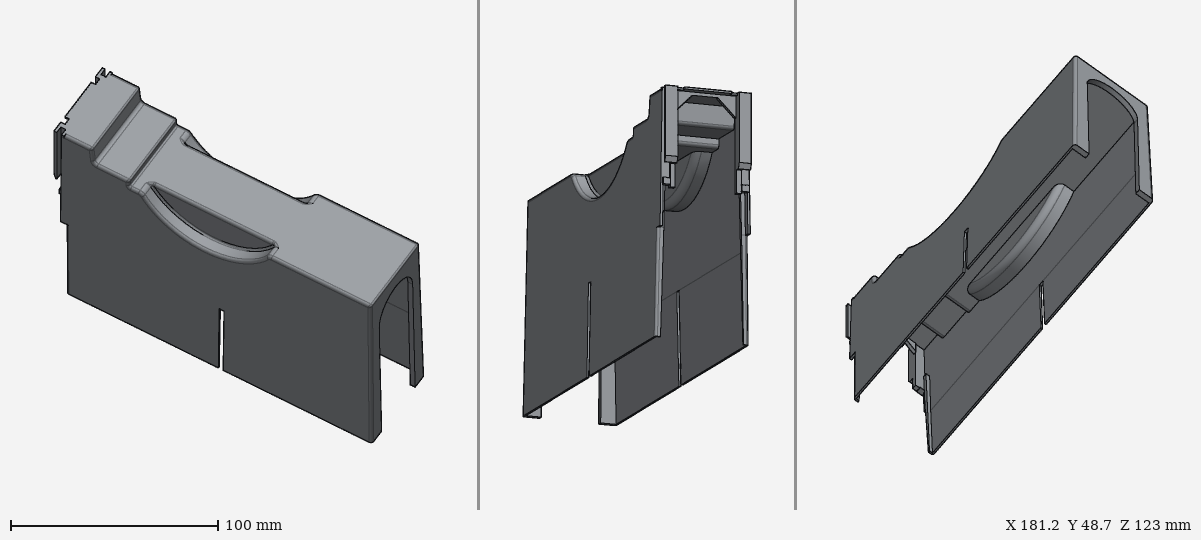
import cadquery as cq
import math

length = 181.2
width = 48.7
height = 123.0

body_front = 4.3
leg_front_top = 7.6
leg_front_bottom = 8.5
notch_height = 54.2
head_end_top = 21.5
head_end_bottom = 22.6
step_height = 112.1
step_end = 42.5
main_height = 107.5
back_top = 179.3
head_fillet = 2.0
step_fillet = 0.9
edge_round = 1.6
cross_round = 0.9
leg_round = 1.3

half_bottom = width / 2
half_top = 22.3
inner_half_bottom = 23.4
inner_half_kink = 22.3
inner_half_top = 21.0
kink_height = 47.0
top_thickness = 2.7
inner_round = 1.8
back_thickness = 2.7

scoop_x = 85.5
scoop_half_chord = 35.7
scoop_depth = 19.7
scoop_floor = 14.7
scoop_wall = 2.5
scoop_floor_round = 1.0
scoop_flare = 3.5
scoop_radius = (scoop_half_chord**2 + scoop_depth**2) / (2 * scoop_depth)
scoop_z = main_height - scoop_depth + scoop_radius

arch_radius = 15.4
arch_top = 97.8
slot_start = 94.2
slot_width = 2.7
slot_top = kink_height

post_inner = 16.0
post_outer = 22.3
post_bottom = 85.1
post_back = 5.8
post_chamfer_height = 2.9
post_chamfer_depth = 1.0
groove_start = 1.6
groove_floor = 18.5
tongue_half = 12.1
tongue_thickness = 1.0
shoulder_front = 2.4

rib_front = 3.5
rib_bottom = 73.5
shelf_outer = 22.3
shelf_bottom = 74.6
nub_front = 2.9
nub_top = 77.9

lip_back = 9.5
lip_inner_bottom = 21.5
lip_inner_top = 19.4

gusset_low = 111.0
gusset_half_top = 6.5
gusset_thickness = 1.8

margin = 0.2


def box(x0, x1, y0, y1, z0, z1):
    return cq.Workplane("XY").box(x1 - x0, y1 - y0, z1 - z0, centered=False).translate((x0, y0, z0))


def both_sides(solid):
    """The solid together with its mirror image across the mid-plane."""
    return solid.union(solid.mirror("XZ"))


def side_prism(points, y0, y1):
    """Outline in X and Z, extruded from y0 to y1."""
    return cq.Workplane("XZ", origin=(0, y0, 0)).polyline(points).close().extrude(y0 - y1)


def cross_prism(points):
    """Outline in Y and Z, extruded along the whole length."""
    return cq.Workplane("YZ", origin=(-length, 0, 0)).polyline(points).close().extrude(3 * length)


def crossing_edges(solid, x, z):
    """Edge along Y that passes through the given point of the side outline."""
    return solid.edges("|Y").edges(cq.selectors.NearestToPointSelector((x, 0, z)))


def scoops():
    """Both scoops: a round hollow whose ends flare smoothly into the top face."""
    flare_z = main_height - scoop_flare
    rise = scoop_z - flare_z
    reach = math.sqrt((scoop_radius + scoop_flare) ** 2 - rise**2)
    share = scoop_radius / (scoop_radius + scoop_flare)
    tangent_x = reach * share
    tangent_z = scoop_z - rise * share
    middle_angle = (math.pi / 2 + math.pi - math.atan2(rise, reach)) / 2
    middle_x = reach + scoop_flare * math.cos(middle_angle)
    middle_z = flare_z + scoop_flare * math.sin(middle_angle)
    pocket = (
        cq.Workplane("XZ", origin=(scoop_x, scoop_floor, 0))
        .moveTo(reach, main_height)
        .threePointArc((middle_x, middle_z), (tangent_x, tangent_z))
        .threePointArc((0, scoop_z - scoop_radius), (-tangent_x, tangent_z))
        .threePointArc((-middle_x, middle_z), (-reach, main_height))
        .lineTo(-reach, height)
        .lineTo(reach, height)
        .close()
        .extrude(-width)
    )
    below_top = cq.selectors.BoxSelector((0, 0, 0), (length, scoop_floor + margin, main_height - margin))
    return both_sides(pocket.edges(below_top).fillet(scoop_floor_round))


def scoop_walls():
    """Space kept solid around both scoops so that they have a wall on the inside."""
    floor = scoop_floor - scoop_wall
    disc = cq.Workplane("XZ", origin=(scoop_x, floor, scoop_z)).circle(scoop_radius + scoop_wall)
    return both_sides(disc.extrude(-width).faces("<Y").edges().fillet(scoop_floor_round + scoop_wall))


def is_rounded_edge(edge):
    """True for the upper outer edges of the side walls and the edges of the scoops."""
    centre = edge.Center()
    on_side = abs(centre.y) > half_top - margin
    top_edge = on_side and centre.z > main_height - margin and centre.x > body_front + margin
    near_scoop = abs(centre.x - scoop_x) < scoop_half_chord + scoop_flare
    scoop_rim = on_side and near_scoop and centre.z > scoop_z - scoop_radius
    at_floor = abs(centre.y) < scoop_floor + margin and abs(centre.x - scoop_x) < margin
    scoop_mouth = at_floor and abs(centre.z - main_height) < margin
    return top_edge or scoop_mouth or scoop_rim


def is_upright_end_edge(edge):
    """True for the back corners of the side walls and the front edges of the legs."""
    bounds = edge.BoundingBox()
    tall = bounds.zmax - bounds.zmin > notch_height / 2
    at_back = bounds.xmin > back_top - edge_round
    at_leg = bounds.xmax < leg_front_bottom + margin and bounds.xmin > leg_front_top - margin
    return tall and (at_back or at_leg)


def outer_body():
    outline = [
        (leg_front_bottom, 0),
        (leg_front_top, notch_height),
        (body_front, notch_height),
        (body_front, height),
        (head_end_top, height),
        (head_end_bottom, step_height),
        (step_end, step_height),
        (step_end, main_height),
        (back_top, main_height),
        (length, 0),
    ]
    edge_rounds = [
        (head_end_top, height, cross_round),
        (head_end_bottom, step_height, head_fillet),
        (step_end, step_height, cross_round),
        (step_end, main_height, step_fillet),
        (back_top, main_height, cross_round),
    ]
    block = side_prism(outline, -width, width)
    for x, z, radius in edge_rounds:
        block = crossing_edges(block, x, z).fillet(radius)
    spread = [(-half_bottom, 0), (half_bottom, 0), (half_top, height), (-half_top, height)]
    block = block.intersect(cross_prism(spread)).cut(scoops())
    block = block.newObject(filter(is_rounded_edge, block.edges().vals())).fillet(edge_round)
    return block.newObject(filter(is_upright_end_edge, block.edges().vals())).fillet(leg_round)


def front_lips():
    """Space kept solid along the front edges, open toward the mid-plane."""
    section = [(lip_inner_bottom, 0), (width, 0), (width, post_bottom), (lip_inner_top, post_bottom)]
    lip = cross_prism(section).intersect(box(leg_front_top, lip_back, 0, width, 0, post_bottom))
    return both_sides(lip)


def cavity():
    drop = top_thickness
    outline = [
        (-length, -drop),
        (-length, height - drop),
        (head_end_top - drop, height - drop),
        (head_end_bottom - drop, step_height - drop),
        (step_end - drop, step_height - drop),
        (step_end - drop, main_height - drop),
        (back_top - back_thickness, main_height - drop),
        (length - back_thickness, -drop),
    ]
    right_side = [(inner_half_bottom, 0), (inner_half_kink, kink_height), (inner_half_top, height)]
    left_side = [(-y, z) for y, z in reversed(right_side)]
    hollow = side_prism(outline, -width, width)
    hollow = crossing_edges(hollow, head_end_bottom - drop, step_height - drop).fillet(inner_round)
    hollow = crossing_edges(hollow, step_end - drop, main_height - drop).fillet(inner_round)
    hollow = hollow.intersect(cross_prism(right_side + left_side))
    return hollow.cut(scoop_walls()).cut(front_lips())


def back_arch():
    spring = arch_top - arch_radius
    start = length - 2 * edge_round - back_thickness
    arch = cq.Workplane("YZ", origin=(start, 0, 0)).moveTo(-arch_radius, 0).lineTo(-arch_radius, spring)
    arch = arch.threePointArc((0, arch_top), (arch_radius, spring)).lineTo(arch_radius, 0).close()
    return arch.extrude(length)


def wall_slots():
    return box(slot_start, slot_start + slot_width, -width, width, 0, slot_top)


def top_plate():
    underside = height - tongue_thickness
    tongue = box(0, post_back, -tongue_half, tongue_half, underside, height)
    shoulder = box(shoulder_front, post_back, -groove_floor, groove_floor, underside, height)
    return tongue.union(shoulder)


def front_posts():
    outline = [
        (0, height),
        (0, post_bottom + post_chamfer_height),
        (post_chamfer_depth, post_bottom),
        (post_back, post_bottom),
        (post_back, height),
    ]
    bar = side_prism(outline, post_inner, post_outer)
    groove = box(groove_start, body_front, groove_floor, width, 0, height)
    step = box(0, shoulder_front, tongue_half, post_inner, 0, height)
    return both_sides(bar.cut(groove).cut(step))


def post_latches():
    rib = box(rib_front, post_back, post_inner, groove_floor, rib_bottom, post_bottom)
    shelf = box(body_front, post_back, groove_floor, shelf_outer, shelf_bottom, post_bottom)
    nub = box(nub_front, body_front, groove_floor, shelf_outer, shelf_bottom, nub_top)
    return both_sides(rib.union(shelf).union(nub))


def corner_gussets():
    corner = [
        (post_inner, gusset_low),
        (post_inner, height - tongue_thickness),
        (gusset_half_top, height - tongue_thickness),
        (gusset_half_top, height - top_thickness),
    ]
    plate = cq.Workplane("YZ", origin=(body_front, 0, 0)).polyline(corner).close().extrude(gusset_thickness)
    return both_sides(plate)


shell = outer_body().cut(cavity()).cut(back_arch()).cut(wall_slots())
result = shell.union(top_plate()).union(front_posts()).union(post_latches()).union(corner_gussets())